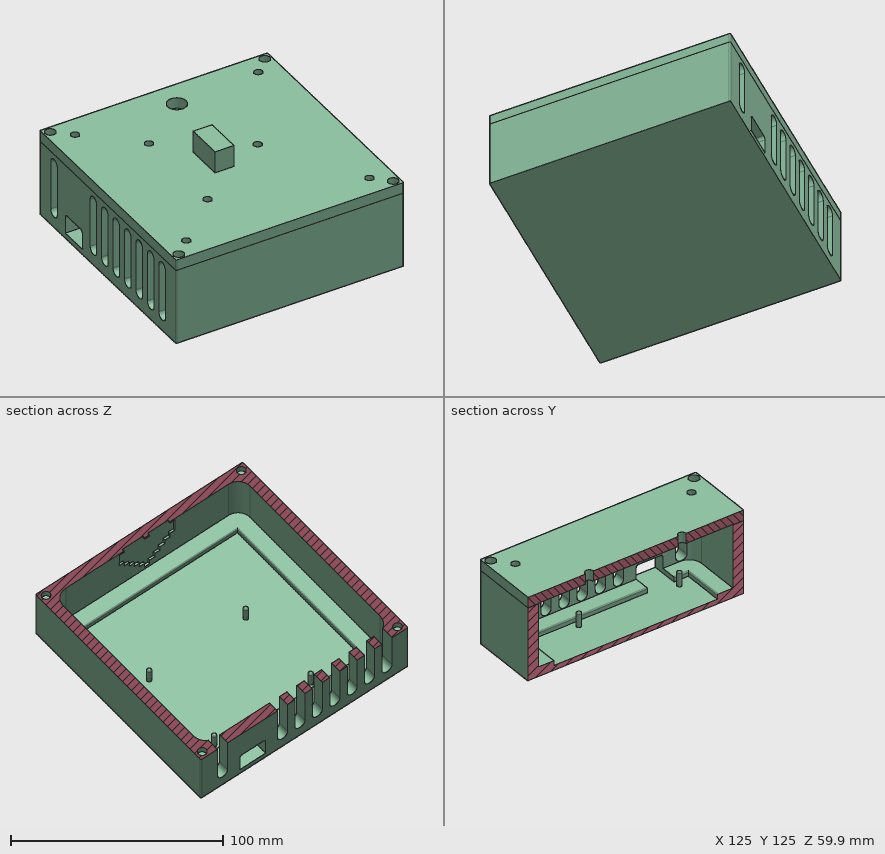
import cadquery as cq

SIDE = 125.0
HOUSING_HEIGHT = 41.9
LID_THICKNESS = 6.0
LID_TOP = HOUSING_HEIGHT + LID_THICKNESS
OUTER_CORNER_RADIUS = 0.6

WALL = 6.2
CAVITY_SIDE = SIDE - 2 * WALL
CAVITY_CORNER_RADIUS = 7.2
CAVITY_FLOOR_Z = 5.8
RECESS_SIDE = 94.5
RECESS_FLOOR_Z = 3.0
SMALL_ROUND = 0.5

STANDOFF_DIAMETER = 2.5
STANDOFF_TOP_Z = 11.0
STANDOFF_FIRST_X = -39.4
STANDOFF_FIRST_Y = -43.5
STANDOFF_PITCH_X = 58.2
STANDOFF_PITCH_Y = 49.0

SLOT_WIDTH = 6.0
SLOT_HEIGHT = 33.0
SLOT_CENTER_Z = 22.5
SLOT_COUNT = 7
SLOT_PITCH = 10.5
SLOT_LAST_X = 49.8
LONE_SLOT_X = -49.4

PORT_WIDTH = 15.5
PORT_HEIGHT = 10.6
PORT_X = -31.2
PORT_CORNER_RADIUS = 1.5
PORT_DEPTH = (SIDE - RECESS_SIDE) / 2 + 2 * SMALL_ROUND

HEART_WIDTH = 33.5
HEART_HEIGHT = 27.1
HEART_TOP_Z = 34.5
HEART_DEPTH = 1.2
HEART_ROWS = 10
HEART_COLUMN_SPANS = ((2, 10), (1, 9), (0, 8), (0, 7), (1, 6), (2, 5))
HEART_REACH = len(HEART_COLUMN_SPANS) - 1
HEART_CELL_WIDTH = HEART_WIDTH / (2 * HEART_REACH + 1)
HEART_CELL_HEIGHT = HEART_HEIGHT / HEART_ROWS

SCREW_INSET = 3.6
SCREW_OFFSET = SIDE / 2 - SCREW_INSET
SCREW_POINTS = [(x, y) for x in (-SCREW_OFFSET, SCREW_OFFSET) for y in (-SCREW_OFFSET, SCREW_OFFSET)]
LID_SCREW_DIAMETER = 5.5
HOUSING_SCREW_DIAMETER = 4.4
HOUSING_SCREW_DEPTH = 15.0

MOUNT_DIAMETER = 4.4
MOUNT_X = 51.0
MOUNT_BACK_Y = 50.6
MOUNT_FRONT_Y = -50.0
TRIANGLE_X = 26.9
TRIANGLE_BACK_Y = 19.8
TRIANGLE_FRONT_Y = -23.9
MOUNT_POINTS = [
    (-MOUNT_X, MOUNT_BACK_Y),
    (MOUNT_X, MOUNT_BACK_Y),
    (-MOUNT_X, MOUNT_FRONT_Y),
    (MOUNT_X, MOUNT_FRONT_Y),
    (0, TRIANGLE_BACK_Y),
    (-TRIANGLE_X, TRIANGLE_FRONT_Y),
    (TRIANGLE_X, TRIANGLE_FRONT_Y),
]

LARGE_HOLE_DIAMETER = 10.0
LARGE_HOLE_POINT = (-48.2, 4.2)

BLOCK_LENGTH = 20.0
BLOCK_WIDTH = 10.4
BLOCK_HEIGHT = 12.0
BLOCK_Y = -4.5


def box(length, width, height, x=0, y=0, z=0):
    """A box centred on (x, y) with its underside at z."""
    return cq.Workplane("XY", origin=(x, y, z)).box(length, width, height, centered=(True, True, False))


def holes(points, diameter, top_z, depth):
    """Round cutters running down from top_z."""
    return cq.Workplane("XY", origin=(0, 0, top_z)).pushPoints(points).circle(diameter / 2).extrude(-depth)


def make_shell():
    """Outer box with the cavity and the round-rimmed recess taken out."""
    shell = box(SIDE, SIDE, HOUSING_HEIGHT).edges("|Z").fillet(OUTER_CORNER_RADIUS)
    cavity = box(CAVITY_SIDE, CAVITY_SIDE, HOUSING_HEIGHT - CAVITY_FLOOR_Z, z=CAVITY_FLOOR_Z)
    shell = shell.cut(cavity.edges("|Z").fillet(CAVITY_CORNER_RADIUS))
    shell = shell.cut(box(RECESS_SIDE, RECESS_SIDE, CAVITY_FLOOR_Z - RECESS_FLOOR_Z, z=RECESS_FLOOR_Z))
    reach = RECESS_SIDE / 2 + SMALL_ROUND
    rim = cq.selectors.BoxSelector(
        (-reach, -reach, CAVITY_FLOOR_Z - SMALL_ROUND),
        (reach, reach, CAVITY_FLOOR_Z + SMALL_ROUND),
    )
    return shell.edges(rim).fillet(SMALL_ROUND)


def make_slot_cutter(x):
    """Upright round-ended slot through the front wall, stopping inside the cavity."""
    return (
        cq.Workplane("XZ", origin=(x, -SIDE / 2, SLOT_CENTER_Z))
        .slot2D(SLOT_HEIGHT, SLOT_WIDTH, 90)
        .extrude(-SIDE / 2)
    )


def make_port_cutter():
    """Passage with rounded upper corners."""
    port_y = (PORT_DEPTH - SIDE) / 2
    port = box(PORT_WIDTH, PORT_DEPTH, PORT_HEIGHT, PORT_X, port_y, RECESS_FLOOR_Z)
    return port.edges("|Y and >Z").fillet(PORT_CORNER_RADIUS)


def make_heart_cutter():
    """Stepped heart, one box per column, joined side by side."""
    heart_y = (CAVITY_SIDE + HEART_DEPTH) / 2
    heart = cq.Workplane("XY")
    for column in range(-HEART_REACH, HEART_REACH + 1):
        first_row, end_row = HEART_COLUMN_SPANS[abs(column)]
        height = (end_row - first_row) * HEART_CELL_HEIGHT
        bottom_z = HEART_TOP_Z - end_row * HEART_CELL_HEIGHT
        x = column * HEART_CELL_WIDTH
        heart = heart.union(box(HEART_CELL_WIDTH, HEART_DEPTH, height, x, heart_y, bottom_z))
    return heart


def make_standoff(x, y):
    """Round-topped peg rising from the recess floor."""
    peg = cq.Workplane("XY", origin=(x, y, RECESS_FLOOR_Z)).circle(STANDOFF_DIAMETER / 2)
    return peg.extrude(STANDOFF_TOP_Z - RECESS_FLOOR_Z).faces(">Z").edges().fillet(SMALL_ROUND)


def make_housing():
    housing = make_shell()
    slot_row = [SLOT_LAST_X - i * SLOT_PITCH for i in range(SLOT_COUNT)]
    for x in [LONE_SLOT_X, *slot_row]:
        housing = housing.cut(make_slot_cutter(x))
    housing = housing.cut(make_port_cutter())
    housing = housing.cut(make_heart_cutter())
    housing = housing.cut(holes(SCREW_POINTS, HOUSING_SCREW_DIAMETER, HOUSING_HEIGHT, HOUSING_SCREW_DEPTH))
    for x in (STANDOFF_FIRST_X, STANDOFF_FIRST_X + STANDOFF_PITCH_X):
        for y in (STANDOFF_FIRST_Y, STANDOFF_FIRST_Y + STANDOFF_PITCH_Y):
            housing = housing.union(make_standoff(x, y))
    return housing


def make_lid():
    lid = box(SIDE, SIDE, LID_THICKNESS, z=HOUSING_HEIGHT).edges("|Z").fillet(OUTER_CORNER_RADIUS)
    lid = lid.cut(holes(SCREW_POINTS, LID_SCREW_DIAMETER, LID_TOP, LID_THICKNESS))
    lid = lid.cut(holes(MOUNT_POINTS, MOUNT_DIAMETER, LID_TOP, LID_THICKNESS))
    return lid.cut(holes([LARGE_HOLE_POINT], LARGE_HOLE_DIAMETER, LID_TOP, LID_THICKNESS))


def make_block():
    return box(BLOCK_LENGTH, BLOCK_WIDTH, BLOCK_HEIGHT, y=BLOCK_Y, z=LID_TOP)


housing = make_housing()
lid = make_lid()
block = make_block()

result = cq.Compound.makeCompound([body.solids().val() for body in (housing, lid, block)])